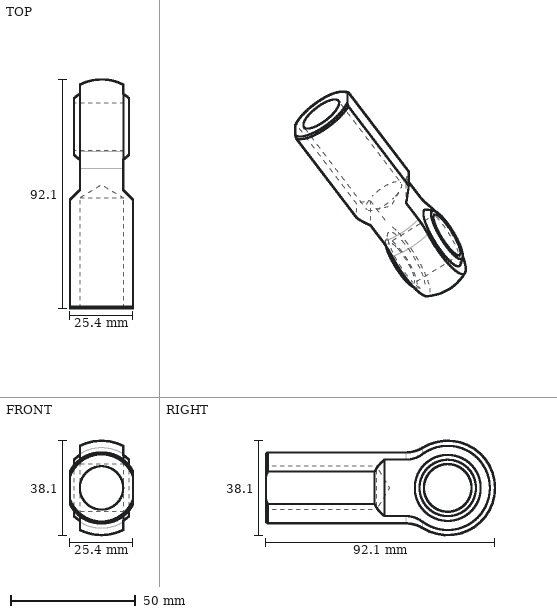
import cadquery as cq
import math


head_radius = 38.1 / 2
head_width = 17.4625
shank_radius = 28.575 / 2
shank_end = 73.025
neck_fillet = 12.7
end_chamfer = 0.79375
width_across_flats = 25.4
head_flat_end = 25.4

ball_radius = 31.75 / 2
ball_width = 22.225
ball_bore = 19.05

shank_bore = 17.4625
shank_bore_depth = 44.45
drill_point_angle = 118


def turned_body():
    """Spherical head, concave neck and shank, revolved about Y."""
    neck_centre_x = shank_radius + neck_fillet
    centre_distance = head_radius + neck_fillet
    neck_end = math.sqrt(centre_distance**2 - neck_centre_x**2)
    head_share = head_radius / centre_distance
    neck_start_x = neck_centre_x * head_share
    neck_start_y = -neck_end * head_share

    half_angle = math.atan2(neck_end, neck_centre_x) / 2
    neck_mid_x = neck_centre_x - neck_fillet * math.cos(half_angle)
    neck_mid_y = -neck_end + neck_fillet * math.sin(half_angle)

    diagonal = head_radius * math.sqrt(0.5)
    profile = (
        cq.Workplane("XY")
        .moveTo(0, head_radius)
        .threePointArc((diagonal, diagonal), (neck_start_x, neck_start_y))
        .threePointArc((neck_mid_x, neck_mid_y), (shank_radius, -neck_end))
        .lineTo(shank_radius, -shank_end + end_chamfer)
        .lineTo(shank_radius - end_chamfer, -shank_end)
        .lineTo(0, -shank_end)
        .close()
    )
    return profile.revolve(360, (0, 0, 0), (0, 1, 0))


def flats_envelope():
    """Prism as wide as the head, widening at 45 degrees to the shank flats."""
    half_head = head_width / 2
    half_flats = width_across_flats / 2
    shoulder_end = head_flat_end + half_flats - half_head
    right_side = [
        (half_head, head_radius),
        (half_head, -head_flat_end),
        (half_flats, -shoulder_end),
        (half_flats, -shank_end),
    ]
    left_side = [(-x, y) for x, y in reversed(right_side)]
    outline = cq.Workplane("XY").polyline(right_side + left_side).close()
    return outline.extrude(head_radius, both=True)


def bored_ball():
    """Ball ring, flat on both sides and bored through, revolved about X."""
    half_width = ball_width / 2
    bore_radius = ball_bore / 2
    face_radius = math.sqrt(ball_radius**2 - half_width**2)
    profile = (
        cq.Workplane("XY")
        .moveTo(-half_width, bore_radius)
        .lineTo(-half_width, face_radius)
        .threePointArc((0, ball_radius), (half_width, face_radius))
        .lineTo(half_width, bore_radius)
        .close()
    )
    return profile.revolve(360, (0, 0, 0), (1, 0, 0))


def ball_bore_cutter():
    """Cylinder through the head along X."""
    return cq.Workplane("YZ").circle(ball_bore / 2).extrude(ball_width, both=True)


def shank_bore_cutter():
    """Blind drilled hole with a conical bottom, entering from the shank end."""
    radius = shank_bore / 2
    point_length = radius / math.tan(math.radians(drill_point_angle / 2))
    bottom = -shank_end + shank_bore_depth
    profile = (
        cq.Workplane("XY")
        .moveTo(0, -shank_end)
        .lineTo(radius, -shank_end)
        .lineTo(radius, bottom)
        .lineTo(0, bottom + point_length)
        .close()
    )
    return profile.revolve(360, (0, 0, 0), (0, 1, 0))


shank_and_head = turned_body().cut(shank_bore_cutter()).intersect(flats_envelope())
result = shank_and_head.cut(ball_bore_cutter()).union(bored_ball())